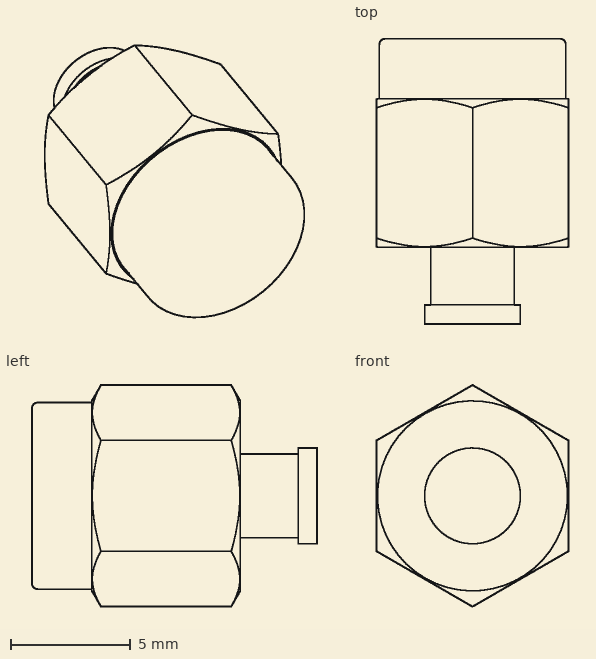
import cadquery as cq
import math

total_length = 11.9
flange_length = 0.8
neck_length = 2.4
nut_length = 6.2
collar_length = total_length - flange_length - neck_length - nut_length

flange_diameter = 4.0
neck_diameter = 3.5
nut_across_flats = 8.01
nut_across_corners = nut_across_flats / math.cos(math.radians(30))
collar_diameter = 7.8
collar_edge_radius = 0.25

chamfer_face_diameter = 7.93
chamfer_angle = 30

neck_start = flange_length
nut_start = neck_start + neck_length
collar_start = nut_start + nut_length


def cylinder(diameter, start, length):
    """Round section about the Y axis, running toward +Y."""
    return cq.Workplane("XZ", origin=(0, start, 0)).circle(diameter / 2).extrude(-length)


def chamfered_nut():
    """Hexagon with corners on +Z and -Z, trimmed by a cone at each end."""
    hexagon = (
        cq.Workplane("XZ", origin=(0, nut_start, 0))
        .transformed(rotate=(0, 0, 90))
        .polygon(6, nut_across_corners)
        .extrude(-nut_length)
    )
    face_radius = chamfer_face_diameter / 2
    outer_radius = nut_across_corners
    cone_depth = (outer_radius - face_radius) * math.tan(math.radians(chamfer_angle))
    envelope = (
        cq.Workplane("XY")
        .moveTo(0, nut_start)
        .lineTo(face_radius, nut_start)
        .lineTo(outer_radius, nut_start + cone_depth)
        .lineTo(outer_radius, collar_start - cone_depth)
        .lineTo(face_radius, collar_start)
        .lineTo(0, collar_start)
        .close()
        .revolve(360, (0, 0, 0), (0, 1, 0))
    )
    return hexagon.intersect(envelope)


flange = cylinder(flange_diameter, 0, flange_length)
neck = cylinder(neck_diameter, neck_start, neck_length)
collar = cylinder(collar_diameter, collar_start, collar_length).faces(">Y").edges().fillet(collar_edge_radius)

result = flange.union(neck).union(chamfered_nut()).union(collar)